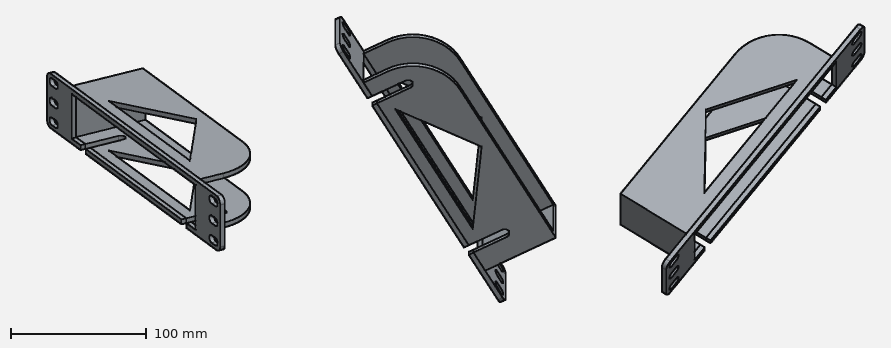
import cadquery as cq

SHEET_THICKNESS = 4.0

PANEL_WIDTH = 254.0
PANEL_HEIGHT = 44.5
PANEL_CORNER_RADIUS = 5.0

WINDOW_WIDTH = 181.5
WINDOW_HEIGHT = PANEL_HEIGHT - 2 * SHEET_THICKNESS

MOUNT_SLOT_LENGTH = 12.0
MOUNT_SLOT_HEIGHT = 6.0
MOUNT_SLOT_X = 117.0
MOUNT_SLOT_PITCH = 16.0

TOTAL_DEPTH = 63.5
TRAY_LEFT = -95.5
TRAY_RIGHT = WINDOW_WIDTH / 2
TRAY_CORNER_RADIUS = 39.5
TRAY_WIDTH = TRAY_RIGHT - TRAY_LEFT
TRAY_DEPTH = TOTAL_DEPTH - SHEET_THICKNESS

TRIANGLE_HALF_WIDTH = 59.5
TRIANGLE_HEIGHT = 40.1
TRIANGLE_BASE_Y = 13.5
TRIANGLE_TIP_Y = TRIANGLE_BASE_Y + TRIANGLE_HEIGHT

NOTCH_X = 74.0
NOTCH_WIDTH = 7.0
NOTCH_DEPTH = 35.8

BOTTOM_Z = -PANEL_HEIGHT / 2


def notches():
    """Both floor notches as cutting solids, as tall as the floor."""
    end_radius = NOTCH_WIDTH / 2
    straight_depth = NOTCH_DEPTH - end_radius
    cutter = cq.Workplane("XY")
    for x in (-NOTCH_X, NOTCH_X):
        notch = (
            cq.Workplane("XY", origin=(x, 0, BOTTOM_Z))
            .moveTo(-end_radius, 0)
            .lineTo(end_radius, 0)
            .lineTo(end_radius, straight_depth)
            .threePointArc((0, NOTCH_DEPTH), (-end_radius, straight_depth))
            .close()
            .extrude(SHEET_THICKNESS)
        )
        cutter = cutter.add(notch)
    return cutter.combine()


def slotted_panel():
    """The panel with its window and mounting slots, before the notches divide it."""
    slot_centres = [
        (side * MOUNT_SLOT_X, row * MOUNT_SLOT_PITCH)
        for side in (-1, 1)
        for row in (-1, 0, 1)
    ]
    panel = (
        cq.Workplane("XZ")
        .rect(PANEL_WIDTH, PANEL_HEIGHT)
        .extrude(-SHEET_THICKNESS)
        .edges("|Y")
        .fillet(PANEL_CORNER_RADIUS)
    )
    window = cq.Workplane("XZ").rect(WINDOW_WIDTH, WINDOW_HEIGHT).extrude(-SHEET_THICKNESS)
    mount_slots = (
        cq.Workplane("XZ")
        .pushPoints(slot_centres)
        .slot2D(MOUNT_SLOT_LENGTH, MOUNT_SLOT_HEIGHT)
        .extrude(-SHEET_THICKNESS)
    )
    return panel.cut(window).cut(mount_slots)


def bottom_rail_space():
    """The block between the two notches that holds the bottom rail of the panel."""
    return (
        cq.Workplane("XY", origin=(0, 0, BOTTOM_Z))
        .rect(2 * NOTCH_X, 2 * SHEET_THICKNESS)
        .extrude(SHEET_THICKNESS)
    )


def make_face_frame():
    """The panel ends and top rail, with the stubs of the bottom rail outside the notches."""
    return slotted_panel().cut(notches()).cut(bottom_rail_space())


def make_bottom_rail():
    """The loose stretch of the panel's bottom rail between the notches."""
    return slotted_panel().cut(notches()).intersect(bottom_rail_space())


def make_tray():
    """Roof, floor and left wall in one piece, with the triangles and notches cut out."""
    outline = (
        cq.Workplane("XY", origin=(TRAY_LEFT, SHEET_THICKNESS, BOTTOM_Z))
        .rect(TRAY_WIDTH, TRAY_DEPTH, centered=False)
        .extrude(PANEL_HEIGHT)
        .edges("|Z and >X and >Y")
        .fillet(TRAY_CORNER_RADIUS)
    )
    interior_corner = (TRAY_LEFT + SHEET_THICKNESS, SHEET_THICKNESS, BOTTOM_Z + SHEET_THICKNESS)
    interior = (
        cq.Workplane("XY", origin=interior_corner)
        .rect(TRAY_WIDTH, TRAY_DEPTH, centered=False)
        .extrude(WINDOW_HEIGHT)
    )
    triangle = (
        cq.Workplane("XY", origin=(0, 0, BOTTOM_Z))
        .moveTo(-TRIANGLE_HALF_WIDTH, TRIANGLE_BASE_Y)
        .lineTo(TRIANGLE_HALF_WIDTH, TRIANGLE_BASE_Y)
        .lineTo(0, TRIANGLE_TIP_Y)
        .close()
        .extrude(PANEL_HEIGHT)
    )
    return outline.cut(interior).cut(triangle).cut(notches())


face_frame = make_face_frame()
bottom_rail = make_bottom_rail()
tray = make_tray()

result = cq.Compound.makeCompound([face_frame.val(), bottom_rail.val(), tray.val()])